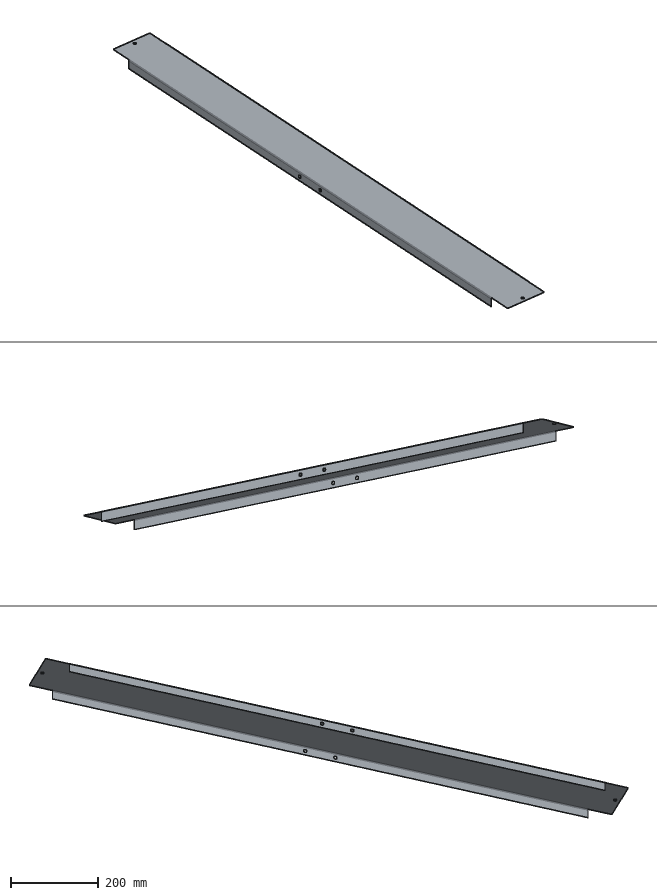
import cadquery as cq

length = 1425.0
width = 113.0
height = 24.0

sheet = 1.5
bend_outer_radius = 2.0
bend_inner_radius = bend_outer_radius - sheet

tongue_length = 57.5
tongue_width = width - 2 * bend_outer_radius
tongue_corner_radius = 3.0
flange_length = length - 2 * tongue_length

end_hole_diameter = 7.0
end_hole_inset = 12.0

flange_hole_diameter = 8.0
flange_hole_spacing = 74.0
flange_hole_depth_below_top = 12.5


def make_channel():
    """Folded U channel, open downwards, with its top face at Z = 0."""
    outer = (
        cq.Workplane("XY")
        .box(flange_length, width, height, centered=(True, True, False))
        .translate((0, 0, -height))
        .edges("|X and >Z")
        .fillet(bend_outer_radius)
    )
    inner_height = height - sheet
    inner = (
        cq.Workplane("XY")
        .box(flange_length, width - 2 * sheet, inner_height, centered=(True, True, False))
        .translate((0, 0, -height))
        .edges("|X and >Z")
        .fillet(bend_inner_radius)
    )
    return outer.cut(inner)


def make_top_plate():
    """Flat plate running the full length, narrowed to clear the bends, with rounded corners."""
    return (
        cq.Workplane("XY")
        .rect(length, tongue_width)
        .extrude(-sheet)
        .edges("|Z")
        .fillet(tongue_corner_radius)
    )


def make_end_holes():
    """Cutters for one mounting hole near each end of the plate."""
    hole_x = length / 2 - end_hole_inset
    return (
        cq.Workplane("XY")
        .pushPoints([(-hole_x, 0), (hole_x, 0)])
        .circle(end_hole_diameter / 2)
        .extrude(-sheet)
    )


def make_flange_holes():
    """Cutters for the pair of holes at mid-length, passing through both flanges."""
    hole_x = flange_hole_spacing / 2
    hole_z = -flange_hole_depth_below_top
    return (
        cq.Workplane("XZ", origin=(0, -width / 2, 0))
        .pushPoints([(-hole_x, hole_z), (hole_x, hole_z)])
        .circle(flange_hole_diameter / 2)
        .extrude(-width)
    )


body = make_channel().union(make_top_plate())
result = body.cut(make_end_holes()).cut(make_flange_holes())